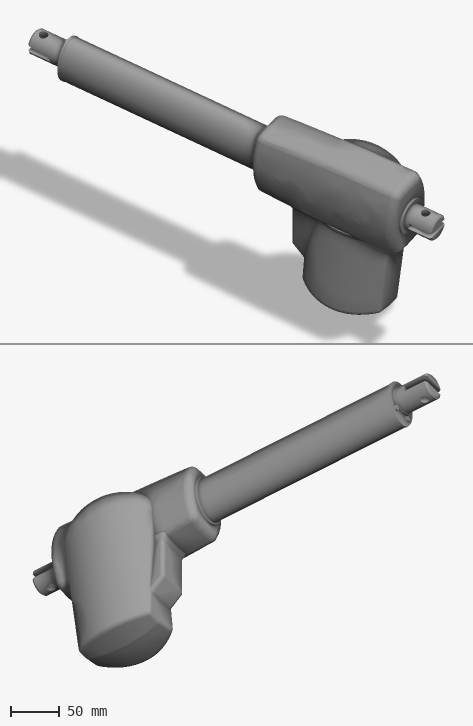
import cadquery as cq
import math

TOTAL_LENGTH = 495.0

ROD_RADIUS = 14.5
ROD_CHAMFER = 2.0
SLOT_HEIGHT = 8.0
SLOT_DEPTH = 27.5
PIN_DIAMETER = 10.0
FRONT_PIN_INSET = 11.0
REAR_PIN_INSET = 15.5
FRONT_COLLAR_RADIUS = 15.5
REAR_COLLAR_RADIUS = 20.0

TUBE_START = 41.0
TUBE_CENTER_Z = -3.0
TUBE_HALF_WIDTH = 20.0
TUBE_HALF_HEIGHT = 27.5
CAP_LENGTH = 3.0
CAP_LIP = 0.5
STEP = 2.5
SCREW_RADIUS = 3.0
SCREW_PLACES = [(0, 19.5), (-10.0, -17.5), (10.0, -17.5)]

HOUSING_START = 284.0
HOUSING_END = 460.5
HOUSING_MIDDLE = (HOUSING_START + HOUSING_END) / 2
HOUSING_SECTIONS = [
    (HOUSING_START, 30.0, 36.5, -43.0),
    (HOUSING_MIDDLE, 32.0, 43.0, -46.5),
    (HOUSING_END, 33.0, 45.0, -44.0),
]
TOP_HALF_WIDTH = 21.0
CROWN = 2.0
HOUSING_FILLET = 8.5

MOTOR_X = 387.5
MOTOR_TILT = 11.4
LENS_RADIUS = 70.0
DOME_RADIUS = 44.5
DOME_Y = 15.0
DOME_Z = -7.5
MOTOR_WIDTH = 72.5
LENS_Y = DOME_RADIUS - MOTOR_WIDTH / 2
MOTOR_LENGTH = 198.0
MOTOR_RIGHT = 436.5
MOTOR_LEFT_TOP = 329.5
MOTOR_LEFT_BOTTOM = 343.5
MOTOR_BOTTOM = -152.0
MOTOR_CORNER_Z = -142.5
BELOW_HOUSING_Z = -54.5
TRIM_TOP = 59.5
TRIM_BOTTOM = -198.0
TRIM_REACH = 99.0
BOTTOM_RISE_ANGLE = 14.0
MOTOR_EDGE_FILLET = 5.0

FLARE_BOTTOM = -50.5
FLARE_TOP = -43.0
FLARE_GROWTH = 3.0

BLOCK_START = 324.5
BLOCK_Y_MIN = -16.0
BLOCK_Y_MAX = 21.0
BLOCK_KNEE_Z = -101.5
BLOCK_BOTTOM = -117.0
BLOCK_TIP_X = 341.5
BLOCK_TOP = -15.0
BLOCK_FILLET = 4.5


def x_disc(start, end, radius, y=0.0, z=0.0):
    return cq.Workplane("YZ", origin=(start, y, z)).circle(radius).extrude(end - start)


def x_oval(start, end, growth=0.0):
    """Tube outline, enlarged all round by growth."""
    plane = cq.Workplane("YZ", origin=(start, 0, TUBE_CENTER_Z))
    return plane.ellipse(TUBE_HALF_WIDTH + growth, TUBE_HALF_HEIGHT + growth).extrude(end - start)


def make_rod():
    rod = x_disc(0, TOTAL_LENGTH, ROD_RADIUS).faces("<X or >X").chamfer(ROD_CHAMFER)
    for slot_x in (SLOT_DEPTH / 2, TOTAL_LENGTH - SLOT_DEPTH / 2):
        slot = cq.Workplane("XY").box(SLOT_DEPTH, 2 * ROD_RADIUS, SLOT_HEIGHT)
        rod = rod.cut(slot.translate((slot_x, 0, 0)))
    for pin_x in (FRONT_PIN_INSET, TOTAL_LENGTH - REAR_PIN_INSET):
        pin = cq.Workplane("XY").circle(PIN_DIAMETER / 2).extrude(2 * ROD_RADIUS, both=True)
        rod = rod.cut(pin.translate((pin_x, 0, 0)))
    return rod


def make_tube():
    tube = x_oval(TUBE_START, HOUSING_MIDDLE)
    tube = tube.union(x_oval(TUBE_START, TUBE_START + CAP_LENGTH, CAP_LIP))
    tube = tube.union(x_oval(HOUSING_START - STEP, HOUSING_MIDDLE, STEP))
    tube = tube.union(x_disc(TUBE_START - STEP, TUBE_START + STEP, FRONT_COLLAR_RADIUS))
    for y, z in SCREW_PLACES:
        tube = tube.union(x_disc(TUBE_START - STEP, TUBE_START + STEP, SCREW_RADIUS, y, z))
    return tube


def housing_section(x, half_width, top, bottom):
    """Barrel-sided wire with crowned top and bottom."""
    corner_top = top - CROWN
    corner_bottom = bottom + CROWN
    wire = (
        cq.Workplane("YZ", origin=(x, 0, 0))
        .moveTo(-TOP_HALF_WIDTH, corner_top)
        .threePointArc((0, top), (TOP_HALF_WIDTH, corner_top))
        .threePointArc((half_width, 0), (TOP_HALF_WIDTH, corner_bottom))
        .threePointArc((0, bottom), (-TOP_HALF_WIDTH, corner_bottom))
        .threePointArc((-half_width, 0), (-TOP_HALF_WIDTH, corner_top))
        .close()
    )
    return wire.val()


def make_housing():
    sections = [housing_section(*sizes) for sizes in HOUSING_SECTIONS]
    housing = cq.Workplane(cq.Solid.makeLoft(sections))
    housing = housing.edges().fillet(HOUSING_FILLET)
    return housing.union(x_disc(HOUSING_MIDDLE, HOUSING_END + STEP, REAR_COLLAR_RADIUS))


def lens_outline(x, y, z, growth=0.0):
    """Horizontal lens of two equal arcs, its width enlarged by growth on each side."""
    half_width = MOTOR_WIDTH / 2 + growth
    half_chord = math.sqrt(LENS_RADIUS**2 - (LENS_RADIUS - half_width) ** 2)
    return (
        cq.Workplane("XY", origin=(x, y, z))
        .moveTo(-half_chord, 0)
        .threePointArc((0, half_width), (half_chord, 0))
        .threePointArc((0, -half_width), (-half_chord, 0))
        .close()
    )


def make_motor():
    column = lens_outline(0, LENS_Y, 0).extrude(-MOTOR_LENGTH)
    dome_half_chord = math.sqrt(LENS_RADIUS**2 - (LENS_RADIUS - DOME_RADIUS) ** 2)
    dome = (
        cq.Workplane("XY")
        .moveTo(-dome_half_chord, 0)
        .threePointArc((0, DOME_RADIUS), (dome_half_chord, 0))
        .close()
        .revolve(180, (0, 0, 0), (1, 0, 0))
    )
    motor = column.union(dome)
    motor = motor.rotate((0, 0, 0), (1, 0, 0), -MOTOR_TILT).translate((MOTOR_X, DOME_Y, DOME_Z))
    motor = motor.intersect(motor_sides()).intersect(motor_floor())
    low_corner = (MOTOR_X - TRIM_REACH, -TRIM_REACH, TRIM_BOTTOM)
    high_corner = (MOTOR_X + TRIM_REACH, TRIM_REACH, BELOW_HOUSING_Z)
    low_edges = motor.edges(cq.selectors.BoxSelector(low_corner, high_corner))
    return low_edges.fillet(MOTOR_EDGE_FILLET)


def motor_sides():
    """Straight prism along Y with a slanted left side and an upright right side."""
    slant = (MOTOR_LEFT_BOTTOM - MOTOR_LEFT_TOP) / MOTOR_CORNER_Z
    outline = [
        (MOTOR_LEFT_TOP + slant * TRIM_TOP, TRIM_TOP),
        (MOTOR_LEFT_TOP + slant * TRIM_BOTTOM, TRIM_BOTTOM),
        (MOTOR_RIGHT, TRIM_BOTTOM),
        (MOTOR_RIGHT, TRIM_TOP),
    ]
    return cq.Workplane("XZ").polyline(outline).close().extrude(TRIM_REACH, both=True)


def motor_floor():
    """Everything above the bottom, which is crowned along X and folded at y = 0."""
    middle = (MOTOR_LEFT_BOTTOM + MOTOR_RIGHT) / 2
    half_span = (MOTOR_RIGHT - MOTOR_LEFT_BOTTOM) / 2
    sag = MOTOR_CORNER_Z - MOTOR_BOTTOM
    crown_radius = (half_span**2 + sag**2) / (2 * sag)
    side_z = MOTOR_BOTTOM + crown_radius - math.sqrt(crown_radius**2 - TRIM_REACH**2)
    outline = (
        cq.Workplane("XZ")
        .moveTo(middle - TRIM_REACH, side_z)
        .threePointArc((middle, MOTOR_BOTTOM), (middle + TRIM_REACH, side_z))
        .lineTo(middle + TRIM_REACH, TRIM_TOP)
        .lineTo(middle - TRIM_REACH, TRIM_TOP)
        .close()
    )
    face = cq.Face.makeFromWires(outline.val())
    rise = TRIM_REACH * math.tan(math.radians(BOTTOM_RISE_ANGLE))
    level_half = cq.Solid.extrudeLinear(face, cq.Vector(0, TRIM_REACH, 0))
    rising_half = cq.Solid.extrudeLinear(face, cq.Vector(0, -TRIM_REACH, rise))
    return cq.Workplane(level_half).union(cq.Workplane(rising_half))


def make_block():
    block = (
        cq.Workplane("XZ", origin=(0, BLOCK_Y_MAX, 0))
        .moveTo(BLOCK_START, BLOCK_TOP)
        .lineTo(BLOCK_START, BLOCK_KNEE_Z)
        .lineTo(BLOCK_TIP_X, BLOCK_BOTTOM)
        .lineTo(MOTOR_X, BLOCK_BOTTOM)
        .lineTo(MOTOR_X, BLOCK_TOP)
        .close()
        .extrude(BLOCK_Y_MAX - BLOCK_Y_MIN)
    )
    return block.edges("not(|X or |Y or >X)").fillet(BLOCK_FILLET)


def make_motor_flare():
    """Widening of the motor's -Y side where it meets the housing."""
    tilt = math.radians(MOTOR_TILT)
    wires = []
    for z, growth in ((FLARE_BOTTOM, 0.0), (FLARE_TOP, FLARE_GROWTH)):
        y = DOME_Y + LENS_Y / math.cos(tilt) + (z - DOME_Z) * math.tan(tilt)
        wires.append(lens_outline(MOTOR_X, y, z, growth).val())
    flare = cq.Workplane(cq.Solid.makeLoft(wires, True))
    keep = cq.Workplane("XY").box(TRIM_REACH, TRIM_REACH, TRIM_REACH, centered=(True, False, True))
    keep = keep.translate((MOTOR_RIGHT - TRIM_REACH / 2, -TRIM_REACH, FLARE_TOP))
    return flare.intersect(keep)


def make_block_flare():
    """Widening of the connector block where it meets the housing."""
    wires = []
    for z, growth in ((FLARE_BOTTOM, 0.0), (FLARE_TOP, FLARE_GROWTH)):
        length = MOTOR_X - BLOCK_START + growth
        width = BLOCK_Y_MAX - BLOCK_Y_MIN + 2 * growth
        center = (MOTOR_X - length / 2, (BLOCK_Y_MIN + BLOCK_Y_MAX) / 2, z)
        wires.append(cq.Workplane("XY", origin=center).rect(length, width).val())
    flare = cq.Workplane(cq.Solid.makeLoft(wires, True))
    return flare.faces("<X").edges("not |Y").fillet(BLOCK_FILLET)


result = (
    make_rod()
    .union(make_tube())
    .union(make_housing())
    .union(make_motor())
    .union(make_motor_flare())
    .union(make_block())
    .union(make_block_flare())
)